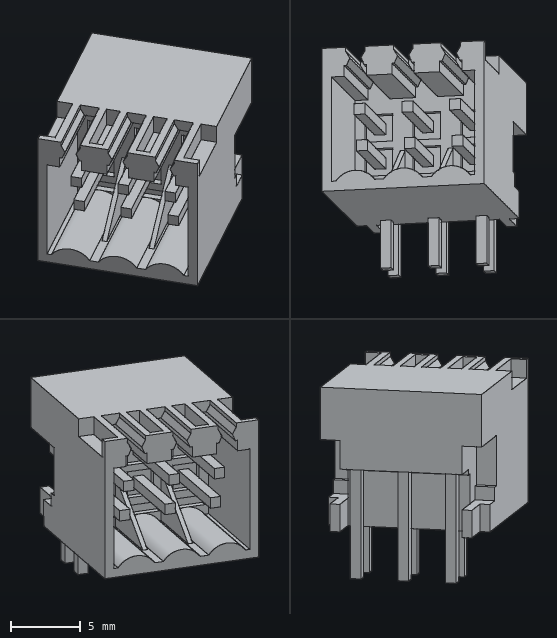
import cadquery as cq

WIDTH = 11.9
DEPTH = 14.2
HEIGHT = 10.5

PITCH = 3.5
POSITIONS = [-PITCH, 0.0, PITCH]
GAPS = [-PITCH / 2, PITCH / 2]

WALL = 0.7
CAVITY_WIDTH = WIDTH - 2 * WALL
CAVITY_DEPTH = 7.9
CAVITY_TOP = 8.36
FLOOR_RIB_RADIUS = PITCH / 2
FLOOR_RIB_TOP = 1.43
GUSSET_THICKNESS = 0.36
GUSSET_FRONT = 2.7
GUSSET_TOP = 4.53

KEY_OPEN_DEPTH = 5.0
KEY_BASE_HALF = 0.81
KEY_SHOULDER_HALF = 0.64
KEY_NECK_HALF = 0.4
KEY_TOP_HALF = 0.7
KEY_SHOULDER_Z = HEIGHT - 1.35
KEY_NECK_Z = HEIGHT - 0.82
KEY_LIP_Z = HEIGHT - 0.31

POCKET_FRONT = 0.5
POCKET_DROP = 1.35
POCKET_WIDTH = 1.0
CORNER_POCKET_WIDTH = 1.17

RECESS_DEPTH = 0.5
PIN_RECESS = 2.0
LOW_RECESS_WIDTH = 2.95
LOW_RECESS_HEIGHT = 0.75

PIN = 0.8
ROW_PITCH = 2.5
LOWER_TIP_Y = 2.24
UPPER_TIP_Y = 1.48
PIN_BOTTOM = -3.5
LOWER_ROW_Z = 3.76
LOWER_ROW_LEG_Y = 10.61
PIN_ROWS = [
    (LOWER_ROW_Z, LOWER_TIP_Y, LOWER_ROW_LEG_Y),
    (LOWER_ROW_Z + ROW_PITCH, UPPER_TIP_Y, LOWER_ROW_LEG_Y + ROW_PITCH),
]

CHEEK_DEPTH = 1.45
CHEEK_FRONT = 9.74
CHEEK_STEP_Y = 10.25
CHEEK_STEP_Z = 3.02
CHEEK_TOP = 6.67
FOOT_TOP = 2.02
FOOT_WIDTH = CHEEK_DEPTH / 2
UNDERCUT_FRONT = 11.71
UNDERCUT_STEP_Y = 12.23
UNDERCUT_STEP_Z = 4.18
UNDERCUT_TOP = 4.59


def block(x_range, y_range, z_range):
    """Box spanning the given (low, high) ranges."""
    sizes = [high - low for low, high in (x_range, y_range, z_range)]
    corner = (x_range[0], y_range[0], z_range[0])
    return cq.Workplane("XY").box(*sizes, centered=False).translate(corner)


def around(center, size):
    """Range of the given size about a center."""
    return (center - size / 2, center + size / 2)


def extrude_back(points, depth):
    """Closed XZ outline extruded from the front face toward +Y."""
    return cq.Workplane("XZ").polyline(points).close().extrude(-depth)


def side_profile(points, x_start, thickness):
    """Closed YZ outline extruded toward +X from x_start."""
    return cq.Workplane("YZ", origin=(x_start, 0, 0)).polyline(points).close().extrude(thickness)


def keyway(x):
    """Hourglass slot, open at the top near the front and roofed at its neck behind."""
    lower = extrude_back(
        [
            (x - KEY_BASE_HALF, CAVITY_TOP),
            (x + KEY_BASE_HALF, CAVITY_TOP),
            (x + KEY_BASE_HALF, KEY_SHOULDER_Z),
            (x + KEY_SHOULDER_HALF, KEY_SHOULDER_Z),
            (x + KEY_NECK_HALF, KEY_NECK_Z),
            (x - KEY_NECK_HALF, KEY_NECK_Z),
            (x - KEY_SHOULDER_HALF, KEY_SHOULDER_Z),
            (x - KEY_BASE_HALF, KEY_SHOULDER_Z),
        ],
        CAVITY_DEPTH,
    )
    upper = extrude_back(
        [
            (x - KEY_NECK_HALF, KEY_NECK_Z),
            (x + KEY_NECK_HALF, KEY_NECK_Z),
            (x + KEY_TOP_HALF, KEY_LIP_Z),
            (x + KEY_TOP_HALF, HEIGHT),
            (x - KEY_TOP_HALF, HEIGHT),
            (x - KEY_TOP_HALF, KEY_LIP_Z),
        ],
        KEY_OPEN_DEPTH,
    )
    return lower.union(upper)


def cavity():
    """Mating cavity with a rounded floor rib under every contact."""
    space = block(around(0, CAVITY_WIDTH), (0, CAVITY_DEPTH), (WALL, CAVITY_TOP))
    rib_axis_z = FLOOR_RIB_TOP - FLOOR_RIB_RADIUS
    for x in POSITIONS:
        rib = cq.Workplane("XZ").center(x, rib_axis_z).circle(FLOOR_RIB_RADIUS).extrude(-CAVITY_DEPTH)
        space = space.cut(rib)
    return space


def gusset(x):
    """Triangular web between the cavity floor and its back wall."""
    outline = [(GUSSET_FRONT, WALL), (CAVITY_DEPTH, WALL), (CAVITY_DEPTH, GUSSET_TOP)]
    return side_profile(outline, x - GUSSET_THICKNESS / 2, GUSSET_THICKNESS)


def back_wall_recesses(x):
    """Square recess around each pin and a low slot above the floor rib."""
    y_range = (CAVITY_DEPTH, CAVITY_DEPTH + RECESS_DEPTH)
    low_z = (FLOOR_RIB_TOP, FLOOR_RIB_TOP + LOW_RECESS_HEIGHT)
    recesses = block(around(x, LOW_RECESS_WIDTH), y_range, low_z)
    for row_z, _, _ in PIN_ROWS:
        recesses = recesses.union(block(around(x, PIN_RECESS), y_range, around(row_z, PIN_RECESS)))
    return recesses


def top_pockets():
    """Two closed pockets between the keyways and two open at the side faces."""
    y_range = (POCKET_FRONT, KEY_OPEN_DEPTH)
    z_range = (HEIGHT - POCKET_DROP, HEIGHT)
    left = (-WIDTH / 2, -WIDTH / 2 + CORNER_POCKET_WIDTH)
    right = (WIDTH / 2 - CORNER_POCKET_WIDTH, WIDTH / 2)
    pockets = block(left, y_range, z_range).union(block(right, y_range, z_range))
    for x in GAPS:
        pockets = pockets.union(block(around(x, POCKET_WIDTH), y_range, z_range))
    return pockets


def rear_undercut():
    """Stepped space under the rear overhang, across the full width."""
    outline = [
        (UNDERCUT_FRONT, 0),
        (DEPTH, 0),
        (DEPTH, UNDERCUT_TOP),
        (UNDERCUT_STEP_Y, UNDERCUT_TOP),
        (UNDERCUT_STEP_Y, UNDERCUT_STEP_Z),
        (UNDERCUT_FRONT, UNDERCUT_STEP_Z),
    ]
    return side_profile(outline, -WIDTH / 2, WIDTH)


def side_cheek(x_start):
    """Recess in the rear part of a side face."""
    outline = [
        (CHEEK_FRONT, CHEEK_TOP),
        (DEPTH, CHEEK_TOP),
        (DEPTH, FOOT_TOP),
        (CHEEK_STEP_Y, FOOT_TOP),
        (CHEEK_STEP_Y, CHEEK_STEP_Z),
        (CHEEK_FRONT, CHEEK_STEP_Z),
    ]
    return side_profile(outline, x_start, CHEEK_DEPTH)


def rear_foot(x_center):
    """Bar standing on the board behind the body."""
    return block(around(x_center, FOOT_WIDTH), (UNDERCUT_FRONT, DEPTH), (0, FOOT_TOP))


def bent_pin(x, row_z, tip_y, leg_y):
    """Square pin from its tip in the cavity back to its leg and down through the board."""
    contact = block(around(x, PIN), (tip_y, leg_y + PIN / 2), around(row_z, PIN))
    leg = block(around(x, PIN), around(leg_y, PIN), (PIN_BOTTOM, row_z + PIN / 2))
    return contact.union(leg)


body = block(around(0, WIDTH), (0, DEPTH), (0, HEIGHT))
body = body.cut(cavity()).cut(top_pockets()).cut(rear_undercut())
for x_position in POSITIONS:
    body = body.cut(keyway(x_position)).cut(back_wall_recesses(x_position))
for x_gap in GAPS:
    body = body.union(gusset(x_gap))

body = body.cut(side_cheek(-WIDTH / 2)).cut(side_cheek(WIDTH / 2 - CHEEK_DEPTH))
foot_x = WIDTH / 2 - CHEEK_DEPTH + FOOT_WIDTH / 2
body = body.union(rear_foot(-foot_x)).union(rear_foot(foot_x))

for x_position in POSITIONS:
    for pin_z, pin_tip_y, pin_leg_y in PIN_ROWS:
        body = body.union(bent_pin(x_position, pin_z, pin_tip_y, pin_leg_y))

result = body